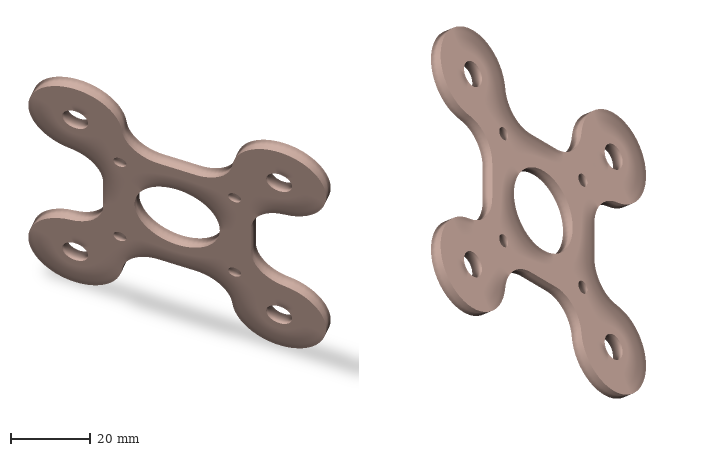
import cadquery as cq
import math

thickness = 3.175
overall_size = 80.47
lobe_radius = 12.7
body_half_width = 20.0
fillet_radius = 10.0
center_bore_diameter = 23.0
lobe_hole_diameter = 7.0
motor_hole_diameter = 3.5
motor_hole_spacing = 31.0

lobe_offset = overall_size / 2 - lobe_radius
lobe_spacing = 2 * lobe_offset

center_distance = lobe_radius + fillet_radius
fillet_center_z = body_half_width + fillet_radius
fillet_rise = fillet_center_z - lobe_offset
fillet_center_x = lobe_offset - math.sqrt(center_distance**2 - fillet_rise**2)

corner_count = 4


def back_face():
    """Workplane on the +Y face of the plate, placed so the plate is centered on Y = 0."""
    return cq.Workplane("XZ").workplane(offset=-thickness / 2)


def point_toward(start, end, distance):
    """Point at the given distance from start along the line to end."""
    ratio = distance / math.dist(start, end)
    return (
        start[0] + ratio * (end[0] - start[0]),
        start[1] + ratio * (end[1] - start[1]),
    )


def quarter_turns(point, turns):
    """Rotate a point clockwise about the origin by whole quarter turns."""
    x, z = point
    for _ in range(turns):
        x, z = z, -x
    return (x, z)


def make_plate():
    """Square body with a round lobe on each corner, blended by concave fillets."""
    lobe_center = (lobe_offset, lobe_offset)
    fillet_center = (fillet_center_x, fillet_center_z)
    edge_end = (fillet_center_x, body_half_width)
    lobe_start = point_toward(lobe_center, fillet_center, lobe_radius)
    chord_middle = ((edge_end[0] + lobe_start[0]) / 2, (edge_end[1] + lobe_start[1]) / 2)
    fillet_middle = point_toward(fillet_center, chord_middle, fillet_radius)
    lobe_tip = point_toward(lobe_center, (0, 0), -lobe_radius)

    lobe_end = lobe_start[::-1]
    second_fillet_middle = fillet_middle[::-1]
    next_edge_start = edge_end[::-1]

    outline = back_face().moveTo(-edge_end[0], edge_end[1])
    for turns in range(corner_count):
        outline = (
            outline.lineTo(*quarter_turns(edge_end, turns))
            .threePointArc(quarter_turns(fillet_middle, turns), quarter_turns(lobe_start, turns))
            .threePointArc(quarter_turns(lobe_tip, turns), quarter_turns(lobe_end, turns))
            .threePointArc(
                quarter_turns(second_fillet_middle, turns),
                quarter_turns(next_edge_start, turns),
            )
        )
    return outline.close().extrude(thickness)


def make_center_bore():
    """Cutter for the large bore through the middle."""
    return back_face().circle(center_bore_diameter / 2).extrude(thickness)


def make_square_of_holes(spacing, diameter):
    """Cutters for four through holes on the corners of a square."""
    return (
        back_face()
        .rarray(spacing, spacing, 2, 2)
        .circle(diameter / 2)
        .extrude(thickness)
    )


result = (
    make_plate()
    .cut(make_center_bore())
    .cut(make_square_of_holes(lobe_spacing, lobe_hole_diameter))
    .cut(make_square_of_holes(motor_hole_spacing, motor_hole_diameter))
)